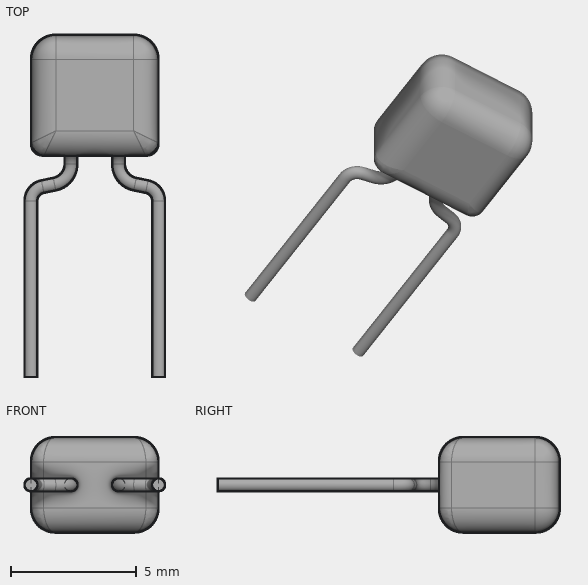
import cadquery as cq
import math

total_length = 13.6
lead_diameter = 0.52
lead_pitch = 5.07

case_width = lead_pitch
case_depth = 4.81
case_height = 3.81
case_radius = 0.99
front_corner_radius = 0.5

exit_pitch = 1.89
stub_length = 0.33
bend_length = 1.47
inner_bend_radius = 0.82
outer_bend_radius = 0.58


def make_case():
    """Block with large rounds, and tighter upright corners at the lead face."""
    block = cq.Workplane("XY").box(case_width, case_depth, case_height).translate((0, case_depth / 2, 0))
    rounded = block.edges("#Z or (|Z and >Y)").fillet(case_radius)
    half_width = case_width / 2
    upright_corners = cq.selectors.BoxSelector(
        (-half_width - 0.14, -0.14, -0.14), (half_width + 0.14, 0.14, 0.14)
    )
    return rounded.edges("|Z").edges(upright_corners).fillet(front_corner_radius)


def make_lead(side):
    """Round wire with an S-bend away from the centre; side is -1 or +1."""
    exit_x = exit_pitch / 2
    leg_x = lead_pitch / 2
    bend_start_y = -stub_length
    bend_end_y = bend_start_y - bend_length
    tip_y = case_depth - total_length

    radius_sum = inner_bend_radius + outer_bend_radius
    centre_dx = leg_x - exit_x - radius_sum
    tangent_length = math.sqrt(centre_dx**2 + bend_length**2 - radius_sum**2)
    turn = math.pi / 2 + math.atan2(radius_sum, tangent_length) - math.atan2(bend_length, centre_dx)

    def inner_arc_point(angle):
        x = exit_x + inner_bend_radius * (1 - math.cos(angle))
        return (side * x, bend_start_y - inner_bend_radius * math.sin(angle))

    def outer_arc_point(angle):
        x = leg_x - outer_bend_radius * (1 - math.cos(angle))
        return (side * x, bend_end_y + outer_bend_radius * math.sin(angle))

    path = (
        cq.Workplane("XY")
        .moveTo(side * exit_x, 0)
        .lineTo(side * exit_x, bend_start_y)
        .threePointArc(inner_arc_point(turn / 2), inner_arc_point(turn))
        .lineTo(*outer_arc_point(turn))
        .threePointArc(outer_arc_point(turn / 2), (side * leg_x, bend_end_y))
        .lineTo(side * leg_x, tip_y)
    )
    section = cq.Workplane("XZ").center(side * exit_x, 0).circle(lead_diameter / 2)
    return section.sweep(path)


case = make_case()
leads = [make_lead(side) for side in (-1, 1)]

result = cq.Compound.makeCompound([case.val(), *[lead.val() for lead in leads]])